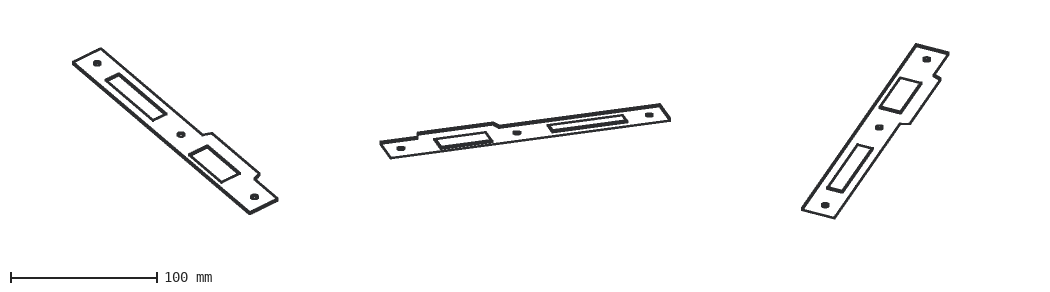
import cadquery as cq

length = 200.2
strip_width = 24.0
total_width = 30.2
thickness = 1.5

lip_start = 115.1
lip_end = 173.8
lip_slope_run = 2.5

hole_diameter = 4.6
hole_y = 12.6
hole_xs = (11.0, 106.0, 189.0)

bolt_length = 53.7
bolt_width = 11.5
bolt_x = 28.6
bolt_y = 6.5
latch_length = 36.8
latch_width = 15.8
latch_x = 126.1
latch_y = 4.0


def window(x, y, size_x, size_y):
    """Cutter for a rectangular through window with its lower-left corner at (x, y)."""
    return cq.Workplane("XY").box(size_x, size_y, thickness, centered=False).translate((x, y, 0))


outline = [
    (0, 0),
    (length, 0),
    (length, strip_width),
    (lip_end, strip_width),
    (lip_end - lip_slope_run, total_width),
    (lip_start + lip_slope_run, total_width),
    (lip_start, strip_width),
    (0, strip_width),
]
plate = cq.Workplane("XY").polyline(outline).close().extrude(thickness)

screw_holes = (
    cq.Workplane("XY")
    .pushPoints([(x, hole_y) for x in hole_xs])
    .circle(hole_diameter / 2)
    .extrude(thickness)
)

result = (
    plate
    .cut(screw_holes)
    .cut(window(bolt_x, bolt_y, bolt_length, bolt_width))
    .cut(window(latch_x, latch_y, latch_length, latch_width))
)